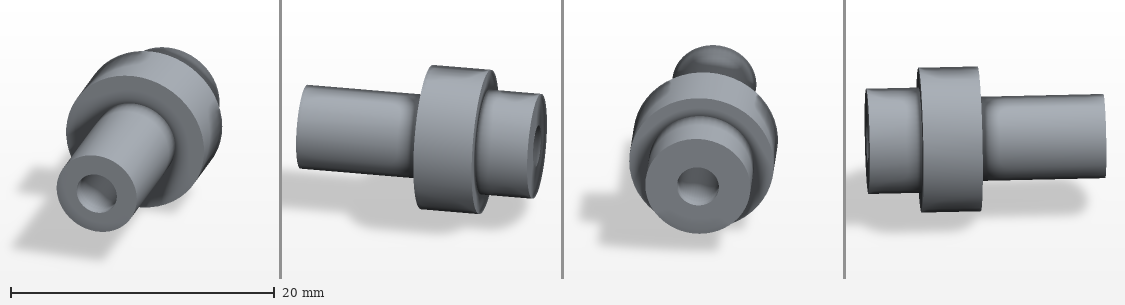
import cadquery as cq

total_length = 18.0
flange_length = 4.5
boss_length = 4.0
tube_length = total_length - flange_length - boss_length

tube_diameter = 6.39
flange_diameter = 11.0
boss_diameter = 8.0
bore_diameter = 3.2


def cylinder_along_y(diameter, start_y, length):
    """Solid cylinder centred on the Y axis, running towards +Y from start_y."""
    base = cq.Workplane("XZ", origin=(0, start_y, 0))
    return base.circle(diameter / 2).extrude(-length)


tube_start = -total_length / 2
flange_start = tube_start + tube_length
boss_start = flange_start + flange_length

tube = cylinder_along_y(tube_diameter, tube_start, tube_length)
flange = cylinder_along_y(flange_diameter, flange_start, flange_length)
boss = cylinder_along_y(boss_diameter, boss_start, boss_length)

bore = cylinder_along_y(bore_diameter, tube_start, total_length)

result = tube.union(flange).union(boss).cut(bore)